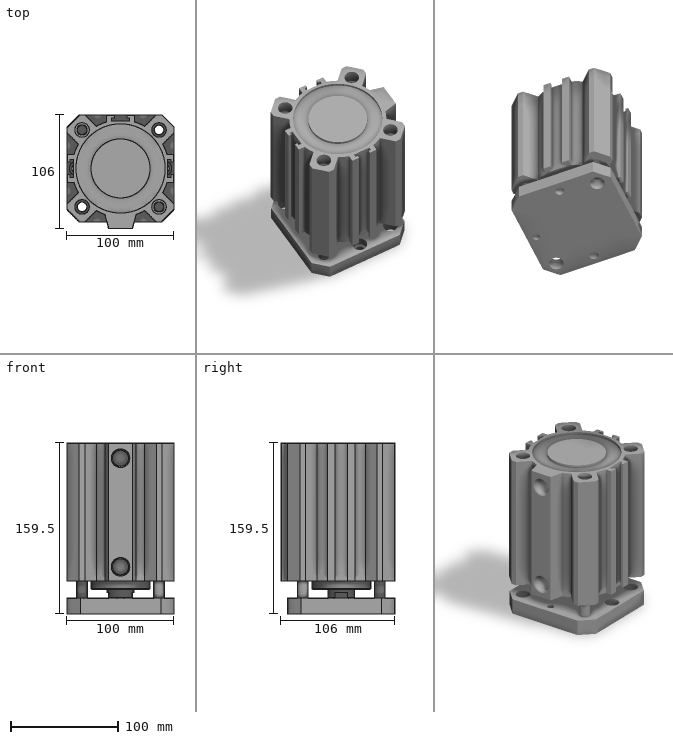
import cadquery as cq

TOTAL_HEIGHT = 159.5
PLATE_THICKNESS = 15.0
HOUSING_BOTTOM = 30.8
HOUSING_HEIGHT = TOTAL_HEIGHT - HOUSING_BOTTOM

SQUARE_SIZE = 100.0
HALF_SIZE = SQUARE_SIZE / 2
TOTAL_DEPTH = 106.0
CORNER_OFFSET = 35.9
SCREW_HEAD_DIA = 13.5

BARREL_DIA = 90.6
CORNER_CHAMFER = 11.5
CORNER_RIB_WIDTH = 23.6
RAIL_WIDTH = 26.0
RAIL_FACE = 49.6
SLOT_FLOOR = 44.0
SLOT_LIP = 47.0
SLOT_OPENING = 11.6
SLOT_INNER_WIDTH = 16.6
RAIL_ANGLES = (0, 90, 180)

PORT_BLOCK_FACE = TOTAL_DEPTH - HALF_SIZE
PORT_BLOCK_FACE_WIDTH = 22.3
PORT_BLOCK_ROOT = 42.5
PORT_BLOCK_ROOT_WIDTH = 29.3
PORT_DIA = 15.0
PORT_CHAMFER = 1.1
PORT_DEPTH = 16.0
PORT_HEIGHTS = (44.2, 145.5)

CORNER_HOLE_DIA = 9.0
HEAD_RECESS_DEPTH = 13.5
CAP_RECESS_DIA = 83.3
CAP_RECESS_DEPTH = 2.5
BOSS_DIA = 55.0
COLLAR_HEIGHT = 7.8
COLLAR_CHAMFER = 1.0

PLATE_CHAMFER = 12.5
ROD_DIA = 25.0
ROD_FLATS_WIDTH = 22.0
ROD_FLATS_HEIGHT = 5.3
ROD_END_CHAMFER = 0.5
GUIDE_PIN_DIA = 10.0
PLATE_HOLE_OFFSET = 41.0
PLATE_SCREW_DIA = 8.5
PLATE_HEAD_DEPTH = 8.6
DOWEL_HOLE_DIA = 6.7

PIN_CORNERS = [(-CORNER_OFFSET, CORNER_OFFSET), (CORNER_OFFSET, -CORNER_OFFSET)]
OPEN_CORNERS = [(CORNER_OFFSET, CORNER_OFFSET), (-CORNER_OFFSET, -CORNER_OFFSET)]


def chamfered_square(height, chamfer):
    """Square block standing on Z = 0 with its four upright edges chamfered."""
    return (
        cq.Workplane("XY")
        .rect(SQUARE_SIZE, SQUARE_SIZE)
        .extrude(height)
        .edges("|Z")
        .chamfer(chamfer)
    )


def cylinder(diameter, bottom, height):
    return cq.Workplane("XY").workplane(offset=bottom).circle(diameter / 2).extrude(height)


def corner_ribs():
    """Two crossing diagonal bars trimmed to the chamfered square."""
    bar_length = 2 * SQUARE_SIZE
    ribs = cq.Workplane("XY")
    for angle in (45, 135):
        bar = cq.Workplane("XY").rect(bar_length, CORNER_RIB_WIDTH).extrude(HOUSING_HEIGHT)
        ribs = ribs.add(bar.rotate((0, 0, 0), (0, 0, 1), angle))
    return chamfered_square(HOUSING_HEIGHT, CORNER_CHAMFER).intersect(ribs.combine())


def sensor_rail(angle):
    """Radial bar from the axis to the rail face, turned to one side."""
    rail = cq.Workplane("XY").rect(RAIL_FACE, RAIL_WIDTH).extrude(HOUSING_HEIGHT)
    return rail.translate((RAIL_FACE / 2, 0, 0)).rotate((0, 0, 0), (0, 0, 1), angle)


def sensor_slot(angle):
    """T-slot cutter running the full height of a rail."""
    slot = (
        cq.Workplane("XY")
        .moveTo(SLOT_FLOOR, -SLOT_INNER_WIDTH / 2)
        .lineTo(SLOT_LIP, -SLOT_INNER_WIDTH / 2)
        .lineTo(SLOT_LIP, -SLOT_OPENING / 2)
        .lineTo(RAIL_FACE, -SLOT_OPENING / 2)
        .lineTo(RAIL_FACE, SLOT_OPENING / 2)
        .lineTo(SLOT_LIP, SLOT_OPENING / 2)
        .lineTo(SLOT_LIP, SLOT_INNER_WIDTH / 2)
        .lineTo(SLOT_FLOOR, SLOT_INNER_WIDTH / 2)
        .close()
        .extrude(HOUSING_HEIGHT)
    )
    return slot.rotate((0, 0, 0), (0, 0, 1), angle)


def port_block():
    """Tapered block on the -Y side, with its back edge buried in the barrel."""
    return (
        cq.Workplane("XY")
        .polyline([
            (0, 0),
            (-PORT_BLOCK_ROOT_WIDTH / 2, -PORT_BLOCK_ROOT),
            (-PORT_BLOCK_FACE_WIDTH / 2, -PORT_BLOCK_FACE),
            (PORT_BLOCK_FACE_WIDTH / 2, -PORT_BLOCK_FACE),
            (PORT_BLOCK_ROOT_WIDTH / 2, -PORT_BLOCK_ROOT),
        ])
        .close()
        .extrude(HOUSING_HEIGHT)
    )


def port(height):
    """Blind port cutter with a chamfered mouth, bored along +Y."""
    radius = PORT_DIA / 2
    return (
        cq.Workplane("XY")
        .polyline([
            (0, -PORT_BLOCK_FACE),
            (radius + PORT_CHAMFER, -PORT_BLOCK_FACE),
            (radius, -PORT_BLOCK_FACE + PORT_CHAMFER),
            (radius, -PORT_BLOCK_FACE + PORT_DEPTH),
            (0, -PORT_BLOCK_FACE + PORT_DEPTH),
        ])
        .close()
        .revolve(360, (0, 0, 0), (0, 1, 0))
        .translate((0, 0, height))
    )


def make_housing():
    body = cylinder(BARREL_DIA, 0, HOUSING_HEIGHT).union(corner_ribs()).union(port_block())
    for angle in RAIL_ANGLES:
        body = body.union(sensor_rail(angle))
    for angle in RAIL_ANGLES:
        body = body.cut(sensor_slot(angle))
    body = body.translate((0, 0, HOUSING_BOTTOM))

    cap_floor = TOTAL_HEIGHT - CAP_RECESS_DEPTH
    cap_ring = cylinder(CAP_RECESS_DIA, cap_floor, CAP_RECESS_DEPTH)
    cap_ring = cap_ring.cut(cylinder(BOSS_DIA, cap_floor, CAP_RECESS_DEPTH))
    body = body.cut(cap_ring)

    body = (
        body.copyWorkplane(cq.Workplane("XY", origin=(0, 0, TOTAL_HEIGHT)))
        .pushPoints(PIN_CORNERS + OPEN_CORNERS)
        .cboreHole(CORNER_HOLE_DIA, SCREW_HEAD_DIA, HEAD_RECESS_DEPTH, HOUSING_HEIGHT)
    )

    for height in PORT_HEIGHTS:
        body = body.cut(port(height))

    collar = cylinder(BOSS_DIA, HOUSING_BOTTOM - COLLAR_HEIGHT, COLLAR_HEIGHT)
    return body.union(collar.faces("<Z").edges().chamfer(COLLAR_CHAMFER))


def rod():
    """Round rod up to the collar, with flats facing +X and -X and a chamfered lower end."""
    height = HOUSING_BOTTOM - COLLAR_HEIGHT - PLATE_THICKNESS
    foot = cylinder(ROD_DIA, PLATE_THICKNESS, ROD_FLATS_HEIGHT).faces("<Z").chamfer(ROD_END_CHAMFER)
    between_flats = (
        cq.Workplane("XY")
        .workplane(offset=PLATE_THICKNESS)
        .rect(ROD_FLATS_WIDTH, ROD_DIA)
        .extrude(ROD_FLATS_HEIGHT)
    )
    shoulder_bottom = PLATE_THICKNESS + ROD_FLATS_HEIGHT
    shoulder = cylinder(ROD_DIA, shoulder_bottom, height - ROD_FLATS_HEIGHT)
    return foot.intersect(between_flats).union(shoulder)


def make_moving_plate():
    plate = chamfered_square(PLATE_THICKNESS, PLATE_CHAMFER)
    top = cq.Workplane("XY", origin=(0, 0, PLATE_THICKNESS))

    plate = plate.copyWorkplane(top).pushPoints(OPEN_CORNERS).hole(SCREW_HEAD_DIA)

    plate = (
        plate.copyWorkplane(top)
        .pushPoints([(-PLATE_HOLE_OFFSET, 0), (PLATE_HOLE_OFFSET, 0)])
        .cboreHole(PLATE_SCREW_DIA, SCREW_HEAD_DIA, PLATE_HEAD_DEPTH)
    )

    plate = plate.copyWorkplane(top).center(0, -PLATE_HOLE_OFFSET).hole(DOWEL_HOLE_DIA)

    plate = plate.union(rod())
    pin = cylinder(GUIDE_PIN_DIA, PLATE_THICKNESS, HOUSING_BOTTOM - PLATE_THICKNESS)
    for x, y in PIN_CORNERS:
        plate = plate.union(pin.translate((x, y, 0)))
    return plate


housing = make_housing()
moving_plate = make_moving_plate()
result = cq.Compound.makeCompound([housing.val(), moving_plate.val()])